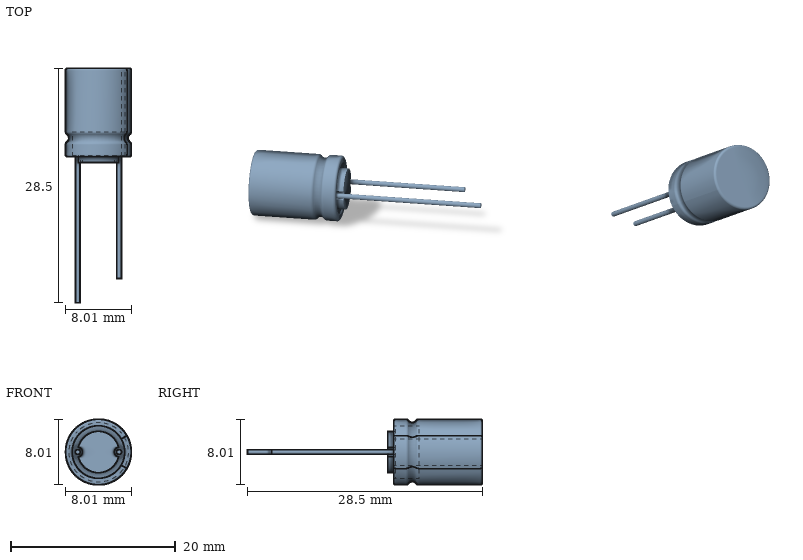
import cadquery as cq
import math

can_radius = 4.005
can_length = 10.77
rim_fillet = 0.28

groove_centre = 2.28
groove_depth = 0.4
groove_half_width = 0.48
shoulder_width = 0.3

wall_inner_radius = 3.2
stripe_half_angle = 30

seal_recess = 0.2
plug_depth = groove_centre + groove_half_width + shoulder_width
boss_radius = 2.5
boss_height = 0.7
notch_radius = 0.57

lead_radius = 0.3
lead_offset = 2.5
total_length = 28.5
long_lead = total_length - can_length
lead_length_step = 2.95
short_lead = long_lead - lead_length_step


def cylinder(radius, y_start, y_end, x=0):
    """Solid cylinder parallel to Y between two Y positions."""
    return cq.Workplane("XZ", origin=(x, y_start, 0)).circle(radius).extrude(y_start - y_end)


def make_envelope():
    """Whole outer shape of the can, including the crimp groove."""
    half_groove = groove_half_width + shoulder_width
    meet_radius = can_radius - groove_depth * shoulder_width / half_groove
    root_radius = can_radius - groove_depth
    profile = (
        cq.Workplane("XY")
        .lineTo(can_radius, 0)
        .lineTo(can_radius, groove_centre - half_groove)
        .tangentArcPoint((meet_radius, groove_centre - groove_half_width), relative=False)
        .tangentArcPoint((root_radius, groove_centre), relative=False)
        .tangentArcPoint((meet_radius, groove_centre + groove_half_width), relative=False)
        .tangentArcPoint((can_radius, groove_centre + half_groove), relative=False)
        .lineTo(can_radius, can_length)
        .lineTo(0, can_length)
        .close()
    )
    envelope = profile.revolve(360, (0, 0, 0), (0, 1, 0))
    return envelope.faces("<Y or >Y").edges().fillet(rim_fillet)


def make_stripe_zone():
    """Wedge on the +X side, outside the wall's inner radius, over the can's full length."""
    reach = 2 * can_radius
    half_spread = reach * math.tan(math.radians(stripe_half_angle))
    wedge = (
        cq.Workplane("XZ")
        .polyline([(0, 0), (reach, -half_spread), (reach, half_spread)])
        .close()
        .extrude(-can_length)
    )
    return wedge.cut(cylinder(wall_inner_radius, 0, can_length))


def make_seal():
    """Plug set back from the can end, with a boss notched around each lead."""
    boss = cylinder(boss_radius, -boss_height, seal_recess)
    for x in (-lead_offset, lead_offset):
        boss = boss.cut(cylinder(notch_radius, -boss_height, seal_recess, x))
    return cylinder(wall_inner_radius, seal_recess, plug_depth).union(boss)


def make_lead(x, length):
    """Round wire standing on the plug face inside its notch."""
    return cylinder(lead_radius, -length, seal_recess, x)


envelope = make_envelope()
stripe_zone = make_stripe_zone()
stripe = envelope.intersect(stripe_zone)
can = envelope.cut(stripe_zone).cut(cylinder(wall_inner_radius, 0, plug_depth))
seal = make_seal()
leads = [
    make_lead(x, length)
    for x, length in ((-lead_offset, long_lead), (lead_offset, short_lead))
]

result = cq.Compound.makeCompound(
    [can.val(), stripe.val(), seal.val(), *[lead.val() for lead in leads]]
)